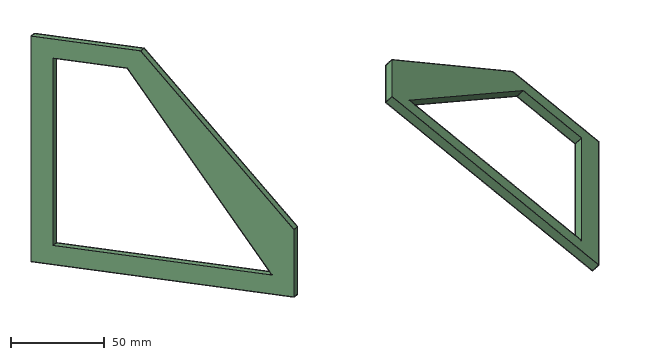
import cadquery as cq

length = 152.4
thickness = 5.0
height = 127.0

top_edge_length = 63.5
right_edge_height = 38.1

side_border = 12.8
end_border = 10.8
window_top_length = 43.0

window_left = side_border
window_right = length - side_border
window_bottom = end_border
window_top = height - end_border

outline = [
    (0, 0),
    (length, 0),
    (length, right_edge_height),
    (top_edge_length, height),
    (0, height),
]

window = [
    (window_left, window_bottom),
    (window_right, window_bottom),
    (window_left + window_top_length, window_top),
    (window_left, window_top),
]


def upright_plate(points):
    """Extrude an XZ outline to the plate thickness, from Y = 0 toward +Y."""
    return cq.Workplane("XZ").polyline(points).close().extrude(-thickness)


result = upright_plate(outline).cut(upright_plate(window))